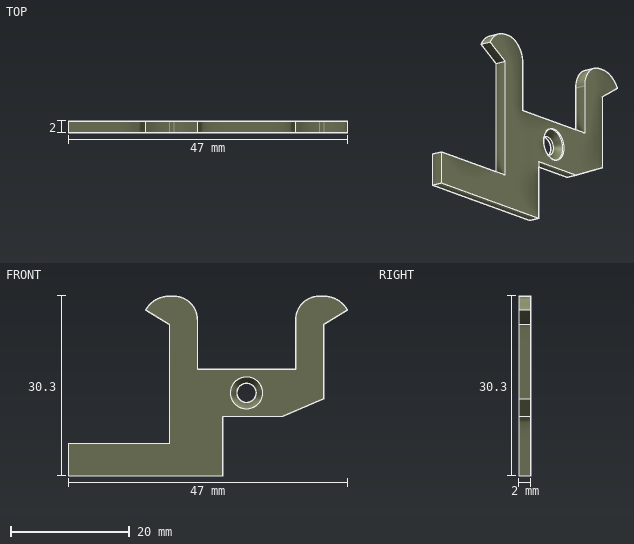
import math

import cadquery as cq

thickness = 2.0

foot_length = 26.0
foot_height = 5.5
web_bottom_z = 10.0
web_top_z = 18.0

left_outer_x = 17.0
left_inner_x = 21.75
right_inner_x = 38.25
right_outer_x = 43.0

slope_start_x = 36.0
slope_end_z = 13.0

hook_overhang = 4.0
hook_root_z = 25.5
hook_tip_z = 27.95
crown_z = 30.3
hook_inner_radius = 4.0
tip_drop = crown_z - hook_tip_z
hook_outer_radius = (hook_overhang**2 + tip_drop**2) / (2 * tip_drop)
hook_tip_angle = math.acos(hook_overhang / hook_outer_radius)

hole_x = (left_inner_x + right_inner_x) / 2
hole_z = (web_bottom_z + web_top_z) / 2
bore_diameter = 3.2
head_diameter = 5.4
head_recess = 0.3
cone_length = (head_diameter - bore_diameter) / 2


def hook_points(outer_x, inner_x):
    """Points of one hook, from its root round the tip and crown to its inner side."""
    outward = math.copysign(1.0, outer_x - inner_x)

    def on_arc(center_x, center_z, radius, direction, angle):
        """Point on a circle, the angle rising from the X direction given by its sign."""
        return (
            center_x + direction * radius * math.cos(angle),
            center_z + radius * math.sin(angle),
        )

    quarter_turn = math.pi / 2
    outer_arc = (outer_x, crown_z - hook_outer_radius, hook_outer_radius, outward)
    inner_arc = (
        inner_x + outward * hook_inner_radius,
        crown_z - hook_inner_radius,
        hook_inner_radius,
        -outward,
    )
    return {
        "root": (outer_x, hook_root_z),
        "tip": on_arc(*outer_arc, hook_tip_angle),
        "outer_middle": on_arc(*outer_arc, (hook_tip_angle + quarter_turn) / 2),
        "crown_outer": on_arc(*outer_arc, quarter_turn),
        "crown_inner": on_arc(*inner_arc, quarter_turn),
        "inner_middle": on_arc(*inner_arc, quarter_turn / 2),
        "inner_end": on_arc(*inner_arc, 0.0),
    }


def make_plate():
    """Flat plate with a foot, a web and two hooked uprights."""
    left = hook_points(left_outer_x, left_inner_x)
    right = hook_points(right_outer_x, right_inner_x)
    outline = (
        cq.Workplane("XZ")
        .moveTo(0, 0)
        .lineTo(foot_length, 0)
        .lineTo(foot_length, web_bottom_z)
        .lineTo(slope_start_x, web_bottom_z)
        .lineTo(right_outer_x, slope_end_z)
        .lineTo(*right["root"])
        .lineTo(*right["tip"])
        .threePointArc(right["outer_middle"], right["crown_outer"])
        .lineTo(*right["crown_inner"])
        .threePointArc(right["inner_middle"], right["inner_end"])
        .lineTo(right_inner_x, web_top_z)
        .lineTo(left_inner_x, web_top_z)
        .lineTo(*left["inner_end"])
        .threePointArc(left["inner_middle"], left["crown_inner"])
        .lineTo(*left["crown_outer"])
        .threePointArc(left["outer_middle"], left["tip"])
        .lineTo(*left["root"])
        .lineTo(left_outer_x, foot_height)
        .lineTo(0, foot_height)
        .close()
    )
    return outline.extrude(-thickness)


def make_hole_cutter():
    """Revolved cutter for the countersunk hole, its axis along +Y from the front face."""
    bore_radius = bore_diameter / 2
    head_radius = head_diameter / 2
    return (
        cq.Workplane("XY")
        .moveTo(0, 0)
        .lineTo(head_radius, 0)
        .lineTo(head_radius, head_recess)
        .lineTo(bore_radius, head_recess + cone_length)
        .lineTo(bore_radius, thickness)
        .lineTo(0, thickness)
        .close()
        .revolve(360, (0, 0), (0, 1))
        .translate((hole_x, 0, hole_z))
    )


result = make_plate().cut(make_hole_cutter())